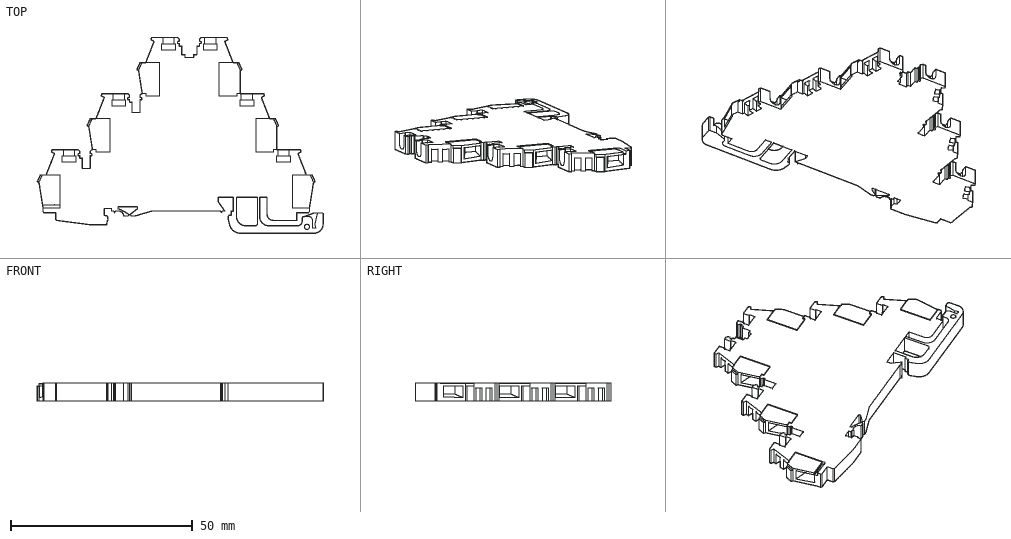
import cadquery as cq
import math


length = 78.6
height = 53.85
thickness = 5.0

tier_count = 3
tier_pitch_y = 15.4
left_pitch_x = 13.7
right_pitch_x = 10.1
left_nose_x = 0.0
right_nose_x = 76.4

nose_tip_drop = 8.8
nose_top_in = 0.9
nose_top_drop = 6.9
wall_top_in = 0.5
wall_top_drop = 9.2
wall_slope = 0.16
shoulder_in = 2.4
neck_in = 4.7
neck_drop = 1.1
head_edge_in = 4.1
head_lip_in = 3.85
head_lip_drop = 0.6

head_inner_in = 11.25
latch_bulge = 0.5
latch_bulge_top_drop = 0.5
latch_bulge_drop = 1.0
latch_groove_top_drop = 1.2
latch_groove_drop = 1.65
latch_foot_drop = 2.35
slot_left_in = 12.4
slot_right_in = 14.55
slot_floor_drop = 5.2
top_slot_step_in = 13.3
top_slot_step_drop = 4.7
top_slot_floor_drop = 5.5

screw_axis_z = thickness / 2
screw_in = 8.7
screw_shank_radius = 1.6
screw_head_radius = 1.9
screw_shank_drop = 1.8
screw_head_drop = 3.4

outside_in = -0.8

panel_depth = 0.2
panel_inner_in = 6.3
panel_bottom_drop = 16.1
panel_setback = 0.55
lip_depth = 0.95
left_jog_in = 2.5
right_jog_in = 1.4
groove_top_drop = 15.2

entry_top_drop = 9.9
entry_bottom_drop = 15.25
entry_back_top_drop = 12.1
entry_floor_z = 0.95
entry_back_floor_z = 1.9
entry_ceiling_z = thickness - lip_depth
entry_back_in = 4.7

test_slot_drops = (1.9, 4.7)
test_slot_drop_span = 1.65
test_slot_depth = 1.5
test_slot_height = 3.6

base_y = 6.1
side_foot_y = 5.65
corner_cut = 0.3
left_block_x = 5.0
left_block_low_y = 2.35
block_y = 3.5
recess_y = 9.9
right_block_left_x = 63.1
right_block_right_x = 71.4
right_block_radius = 1.8
spring_root = (22.3, base_y)
spring_root_radius = 1.4
spring_tip_y = 4.7

rail_stop_points = [
    (49.75, recess_y),
    (49.75, 8.7),
    (51.6, base_y),
    (50.85, base_y),
    (50.6, 5.7),
    (50.3, base_y),
]
spring_gap_points = [
    (31.6, base_y),
    (26.7, spring_tip_y),
    (25.85, spring_tip_y),
    (25.5, 5.2),
    (27.5, 6.75),
    (27.5, 7.3),
    (22.25, 7.3),
    (22.25, 6.75),
    (22.9, 6.6),
    (25.3, 5.2),
    (24.9, spring_tip_y),
    (23.7, spring_tip_y),
]
rail_hook_points = [
    (21.5, base_y),
    (21.2, 5.65),
    (21.0, base_y),
    (20.35, base_y),
    (20.35, 6.8),
    (18.5, 6.8),
    (18.5, 4.95),
    (19.3, 4.8),
    (19.5, 3.6),
    (19.25, 3.4),
    (19.1, left_block_low_y),
    (14.5, left_block_low_y),
]

outer_leaf_left_x = 53.85
outer_leaf_right_x = 54.8
inner_leaf_left_x = 60.5
inner_leaf_right_x = 61.15
foot_floor_y = 2.1
foot_inner_radius = 2.5
window_small_radius = 0.55
foot_top_y = 5.65
foot_start = (55.8, 0)
foot_start_radius = 3.15
foot_end_radius = 2.6
foot_tip_cut = 0.2
leaf_root_overlap = 0.8
boss_left_x = 72.8
boss_top_y = 4.6
boss_radius = 0.55
boss_root_radius = 1.25
release_nose_x = 76.2
pull_hole_x = 74.1
pull_hole_y = 1.8
pull_hole_radius = 0.7
pull_slot_depth = 2.5
pull_slot_left_x = 75.6
pull_slot_floor_y = 1.4
pull_slot_radius = 1.0
foot_rail_points = [
    (outer_leaf_left_x, base_y),
    (53.3, base_y),
    (53.3, 5.0),
    (52.75, 5.0),
    (52.4, boss_top_y),
    (52.4, 4.1),
    (52.9, 2.1),
]
pull_slot_far_points = [
    (76.55, pull_slot_floor_y),
    (76.3, 2.5),
    (77.0, foot_top_y),
]


def tier_top(tier):
    return height - (tier_count - 1 - tier) * tier_pitch_y


def placer(tier, side):
    """Return a function that turns (in, drop) of a tier side into X, Y; side is 1 left, -1 right."""
    if side == 1:
        nose_x = left_nose_x + tier * left_pitch_x
    else:
        nose_x = right_nose_x - tier * right_pitch_x
    top_y = tier_top(tier)
    return lambda inward, drop: (nose_x + side * inward, top_y - drop)


def wall_in(drop):
    return wall_top_in + wall_slope * (drop - wall_top_drop)


def outer_profile(tier, side):
    """Points up the outer side of a tier, from its wall to the top corner of its head."""
    place = placer(tier, side)
    local = [
        (wall_top_in, wall_top_drop),
        (0, nose_tip_drop),
        (nose_top_in, nose_top_drop),
        (shoulder_in, nose_top_drop),
        (neck_in, neck_drop),
        (head_lip_in, head_lip_drop),
        (head_edge_in, 0),
    ]
    return [place(*point) for point in local]


def latch_profile(edge_in, bulge):
    """Local points down a latched slot side: bulge, groove and bulge again."""
    return [
        (edge_in, 0),
        (edge_in + bulge, latch_bulge_top_drop),
        (edge_in + bulge, latch_bulge_drop),
        (edge_in, latch_groove_top_drop),
        (edge_in, latch_groove_drop),
        (edge_in + bulge, latch_groove_drop),
    ]


def head_inner_profile(tier, side):
    """Points down the inner side of a screw head to the foot of its latch."""
    place = placer(tier, side)
    local = latch_profile(head_inner_in, latch_bulge)
    local += [(head_inner_in + latch_bulge, latch_foot_drop), (slot_left_in, latch_foot_drop)]
    return [place(*point) for point in local]


def slot_profile(tier):
    """Points through the slot between a left head and the wall of the tier above it."""
    place = placer(tier, 1)
    far_side = latch_profile(slot_right_in + latch_bulge, -latch_bulge)
    local = [(slot_left_in, slot_floor_drop), (slot_right_in, slot_floor_drop)] + far_side[::-1]
    return [place(*point) for point in local]


def top_slot_profile(side):
    """Points down one side of the stepped slot between the two top heads."""
    place = placer(tier_count - 1, side)
    local = [
        (slot_left_in, top_slot_step_drop),
        (top_slot_step_in, top_slot_step_drop),
        (top_slot_step_in, top_slot_floor_drop),
    ]
    return [place(*point) for point in local]


def left_edge():
    points = []
    for tier in range(tier_count):
        place = placer(tier, 1)
        if tier > 0:
            points.append(place(wall_in(tier_pitch_y), tier_pitch_y))
        points += outer_profile(tier, 1) + head_inner_profile(tier, 1)
        if tier < tier_count - 1:
            points += slot_profile(tier)
    return points + top_slot_profile(1)


def right_edge():
    """Points down the right side; the walls above the lowest tier are upright."""
    top = tier_count - 1
    points = (head_inner_profile(top, -1) + top_slot_profile(-1))[::-1]
    for tier in reversed(range(tier_count)):
        points += outer_profile(tier, -1)[::-1]
        if tier > 0:
            points.append(placer(tier, -1)(wall_top_in, tier_pitch_y))
    return points


def make_housing():
    lean_end_in = wall_in(panel_bottom_drop)
    left_wall_x, lean_end_y = placer(0, 1)(lean_end_in, panel_bottom_drop)
    right_wall_x = placer(0, -1)(lean_end_in, panel_bottom_drop)[0]
    outline = (
        cq.Workplane("XY")
        .moveTo(left_wall_x, side_foot_y + corner_cut)
        .lineTo(left_wall_x, lean_end_y)
        .polyline(left_edge() + right_edge(), includeCurrent=True)
        .lineTo(right_wall_x, lean_end_y)
        .lineTo(right_wall_x, side_foot_y + corner_cut)
        .lineTo(right_wall_x - corner_cut, side_foot_y)
        .lineTo(right_block_right_x, side_foot_y)
        .lineTo(right_block_right_x, block_y)
        .lineTo(right_block_left_x + right_block_radius, block_y)
        .radiusArc((right_block_left_x, block_y + right_block_radius), right_block_radius)
        .lineTo(right_block_left_x, recess_y)
        .polyline(rail_stop_points + spring_gap_points, includeCurrent=True)
        .radiusArc(spring_root, -spring_root_radius)
        .polyline(rail_hook_points, includeCurrent=True)
        .lineTo(left_block_x + corner_cut, block_y)
        .lineTo(left_block_x, block_y + corner_cut)
        .lineTo(left_block_x, side_foot_y)
        .lineTo(left_wall_x + corner_cut, side_foot_y)
        .close()
    )
    return outline.extrude(thickness)


def make_rail_foot():
    root_y = recess_y + leaf_root_overlap
    boss_flat_x = boss_left_x + boss_radius
    foot = (
        cq.Workplane("XY")
        .moveTo(outer_leaf_left_x, root_y)
        .polyline(foot_rail_points, includeCurrent=True)
        .radiusArc(foot_start, -foot_start_radius)
        .lineTo(length - foot_end_radius, 0)
        .radiusArc((length, foot_end_radius), -foot_end_radius)
        .lineTo(length, foot_top_y - foot_tip_cut)
        .lineTo(length - foot_tip_cut, foot_top_y)
        .lineTo(release_nose_x, foot_top_y)
        .lineTo(boss_flat_x, boss_top_y)
        .radiusArc((boss_left_x, boss_top_y - boss_radius), -boss_radius)
        .lineTo(boss_left_x, foot_floor_y + boss_root_radius)
        .radiusArc((boss_left_x - boss_root_radius, foot_floor_y), boss_root_radius)
        .lineTo(inner_leaf_right_x + foot_inner_radius, foot_floor_y)
        .radiusArc((inner_leaf_right_x, foot_floor_y + foot_inner_radius), foot_inner_radius)
        .lineTo(inner_leaf_right_x, root_y)
        .close()
        .extrude(thickness)
    )
    window = (
        cq.Workplane("XY")
        .moveTo(outer_leaf_right_x, recess_y)
        .lineTo(outer_leaf_right_x, foot_floor_y + foot_inner_radius)
        .radiusArc((outer_leaf_right_x + foot_inner_radius, foot_floor_y), -foot_inner_radius)
        .lineTo(inner_leaf_left_x - window_small_radius, foot_floor_y)
        .radiusArc((inner_leaf_left_x, foot_floor_y + window_small_radius), -window_small_radius)
        .lineTo(inner_leaf_left_x, recess_y)
        .close()
        .extrude(thickness)
    )
    recess_plane = cq.Workplane("XY", origin=(0, 0, thickness - pull_slot_depth))
    pull_slot = (
        recess_plane.moveTo(boss_flat_x, boss_top_y)
        .lineTo(pull_slot_left_x - pull_slot_radius, boss_top_y)
        .radiusArc((pull_slot_left_x, boss_top_y - pull_slot_radius), pull_slot_radius)
        .lineTo(pull_slot_left_x, pull_slot_floor_y)
        .polyline(pull_slot_far_points, includeCurrent=True)
        .lineTo(boss_flat_x, foot_top_y)
        .close()
        .extrude(pull_slot_depth)
    )
    pull_hole = (
        recess_plane.center(pull_hole_x, pull_hole_y)
        .circle(pull_hole_radius)
        .extrude(pull_slot_depth)
    )
    return foot.cut(window).cut(pull_slot).cut(pull_hole)


def open_bore(x, top_y, radius, bore_length):
    """Bore running down from top_y, opened by a straight-sided channel up to the top face."""
    bore = (
        cq.Workplane("XZ", origin=(x, top_y, screw_axis_z))
        .circle(radius)
        .extrude(bore_length)
    )
    channel = (
        cq.Workplane("XY", origin=(x, top_y - bore_length / 2, screw_axis_z))
        .rect(2 * radius, bore_length)
        .extrude(thickness - screw_axis_z)
    )
    return bore.union(channel)


def screw_recess(tier, side):
    x, top_y = placer(tier, side)(screw_in, 0)
    shank = open_bore(x, top_y, screw_shank_radius, screw_shank_drop)
    head = open_bore(x, top_y - screw_shank_drop, screw_head_radius, screw_head_drop - screw_shank_drop)
    return shank.union(head)


def sunk_area(place, local_points, depth):
    points = [place(*point) for point in local_points]
    start = cq.Workplane("XY", origin=(0, 0, thickness - depth))
    return start.polyline(points).close().extrude(depth)


def marker_recess(tier, side):
    """Shallow marker panel plus the lower lip along the slanted nose."""
    place = placer(tier, side)
    if tier == 0:
        jog = [(outside_in, panel_bottom_drop)]
    else:
        jog_in = left_jog_in if side == 1 else right_jog_in
        jog = [
            (jog_in, panel_bottom_drop),
            (jog_in, tier_pitch_y),
            (outside_in, tier_pitch_y),
        ]
    outline = [
        (outside_in, nose_top_drop),
        (panel_inner_in, nose_top_drop),
        (panel_inner_in, panel_bottom_drop),
    ]
    panel = sunk_area(place, outline + jog, panel_depth)
    lip = sunk_area(
        place,
        [
            (nose_top_in - panel_setback, nose_top_drop),
            (nose_top_in + panel_setback, nose_top_drop),
            (panel_setback, nose_tip_drop),
            (wall_top_in, wall_top_drop),
            (-panel_setback, nose_tip_drop),
        ],
        lip_depth,
    )
    return panel.union(lip)


def panel_groove():
    """Groove along the lower end of the lowest left marker panel."""
    outline = [
        (0, groove_top_drop),
        (panel_inner_in, groove_top_drop),
        (panel_inner_in, panel_bottom_drop),
        (0, panel_bottom_drop),
    ]
    return sunk_area(placer(0, 1), outline, lip_depth)


def wire_entry(tier, side):
    """Funnel that narrows inward on its upper and floor sides."""
    place = placer(tier, side)
    mouth_x, top_y = place(wall_top_in, 0)
    depth = entry_back_in - wall_top_in
    sections = (
        (entry_top_drop, entry_floor_z),
        (entry_back_top_drop, entry_back_floor_z),
    )
    funnel = cq.Workplane("YZ", origin=(mouth_x, top_y, 0))
    for index, (upper_drop, floor_z) in enumerate(sections):
        corners = [
            (-upper_drop, floor_z),
            (-upper_drop, entry_ceiling_z),
            (-entry_bottom_drop, entry_ceiling_z),
            (-entry_bottom_drop, floor_z),
        ]
        if index > 0:
            funnel = funnel.workplane(offset=side * depth)
        funnel = funnel.polyline(corners).close()
    return funnel.loft(ruled=True)


def test_slot(tier, side, drop):
    """Blind slot cut square to the slanted face, open at the bottom face."""
    run = shoulder_in - neck_in
    fall = nose_top_drop - neck_drop
    slant = math.hypot(run, fall)
    depth_in = test_slot_depth * fall / slant
    depth_drop = -test_slot_depth * run / slant

    def on_face(face_drop):
        return neck_in + run * (face_drop - neck_drop) / fall, face_drop

    upper = on_face(drop)
    lower = on_face(drop + test_slot_drop_span)
    corners = [upper, lower]
    corners += [(inward + depth_in, depth + depth_drop) for inward, depth in (lower, upper)]
    place = placer(tier, side)
    points = [place(*corner) for corner in corners]
    return cq.Workplane("XY").polyline(points).close().extrude(test_slot_height)


result = make_housing().union(make_rail_foot())
for tier in range(tier_count):
    for side in (1, -1):
        result = result.cut(screw_recess(tier, side))
        result = result.cut(marker_recess(tier, side))
        result = result.cut(wire_entry(tier, side))
        for drop in test_slot_drops:
            result = result.cut(test_slot(tier, side, drop))
result = result.cut(panel_groove())